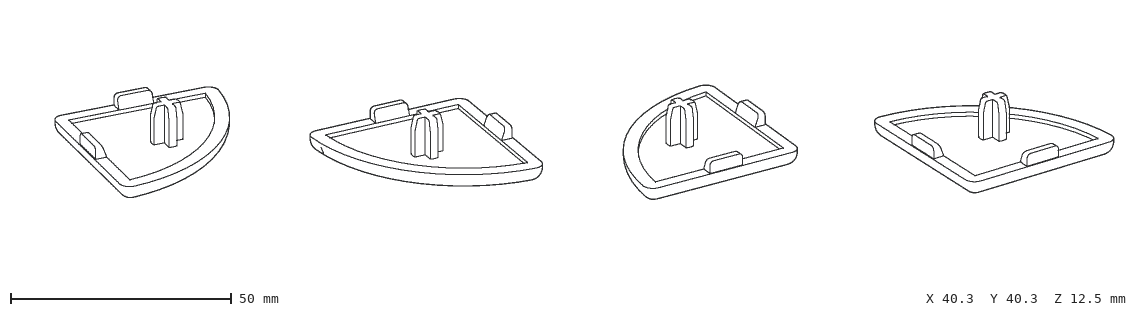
import cadquery as cq
import math

side_length = 40.3
plate_height = 4.0
corner_radius = 2.5
bottom_radius = 3.0
plate_radius = corner_radius + math.hypot(side_length - corner_radius, corner_radius)

rim_width = 3.0
pocket_radius = 37.0
pocket_depth = 1.0
floor_z = plate_height - pocket_depth

feature_center = 19.75
overall_height = 12.5
stem_radius = 3.7
stem_tip_radius = 3.05
stem_taper_z = 9.55
stem_tip_fillet = 0.5
arm_width = 1.98

tab_length = 8.63
tab_setback = 0.25
tab_top_inner = 1.9
tab_height = 3.0
tab_corner_radius = 1.0


def sector(inset, radius, height):
    """Extruded quarter sector with its straight sides moved in by inset."""
    arc_end = math.sqrt(radius**2 - inset**2)
    arc_middle = radius / math.sqrt(2)
    return (
        cq.Workplane("XY")
        .moveTo(inset, inset)
        .lineTo(arc_end, inset)
        .threePointArc((arc_middle, arc_middle), (inset, arc_end))
        .close()
        .extrude(height)
    )


def make_plate():
    blank = sector(0, plate_radius, plate_height).edges("|Z").fillet(corner_radius)
    rounded = blank.faces("<Z").edges().fillet(bottom_radius)
    pocket = sector(rim_width, pocket_radius, pocket_depth).translate((0, 0, floor_z))
    return rounded.cut(pocket)


def make_stem():
    """Tapered round post trimmed to a cross."""
    post = (
        cq.Workplane("XZ")
        .moveTo(0, floor_z)
        .lineTo(stem_radius, floor_z)
        .lineTo(stem_radius, stem_taper_z)
        .lineTo(stem_tip_radius, overall_height)
        .lineTo(0, overall_height)
        .close()
        .revolve(360, (0, 0), (0, 1))
        .faces(">Z")
        .edges()
        .fillet(stem_tip_fillet)
    )
    arm_length = 2 * stem_radius
    cross = (
        cq.Workplane("XY")
        .rect(arm_length, arm_width)
        .extrude(overall_height)
        .union(cq.Workplane("XY").rect(arm_width, arm_length).extrude(overall_height))
    )
    return post.intersect(cross).translate((feature_center, feature_center, 0))


def make_left_tab():
    """Tab on the rim along Y, with a sloped inner face and rounded upper ends."""
    tab_top = plate_height + tab_height
    return (
        cq.Workplane("XZ", origin=(0, feature_center, 0))
        .moveTo(tab_setback, plate_height)
        .lineTo(rim_width, plate_height)
        .lineTo(tab_top_inner, tab_top)
        .lineTo(tab_setback, tab_top)
        .close()
        .extrude(tab_length / 2, both=True)
        .faces(">Z")
        .edges("|X")
        .fillet(tab_corner_radius)
    )


left_tab = make_left_tab()
front_tab = left_tab.mirror("YZ").rotate((0, 0, 0), (0, 0, 1), -90)
result = make_plate().union(make_stem()).union(left_tab).union(front_tab)